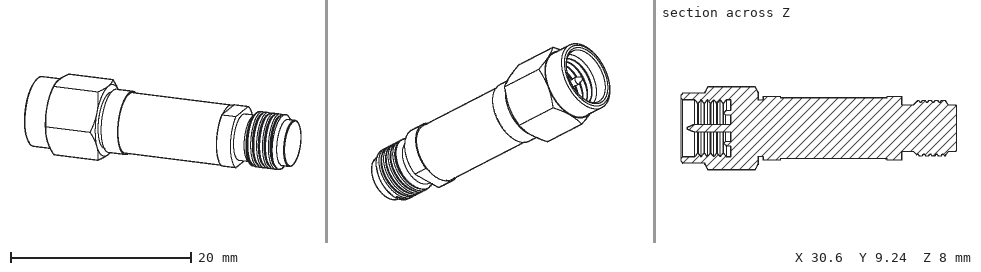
import cadquery as cq
import math

OVERALL_LENGTH = 30.55

NOSE_RADIUS = 3.9
NOSE_CHAMFER = 0.27
NOSE_CHAMFER_LENGTH = 0.18
HEX_START = 2.63
HEX_END = 8.58
HEX_ACROSS_FLATS = 8.0
HEX_ACROSS_CORNERS = HEX_ACROSS_FLATS / math.cos(math.pi / 6)
HEX_CHAMFER_ANGLE = math.radians(30)

NUT_NECK_RADIUS = 3.15
COLLAR_START = 9.1
COLLAR_END = 11.05
COLLAR_RADIUS = 3.55
BARREL_RADIUS = 3.4
WRENCH_START = 22.82
WRENCH_END = 24.5
WRENCH_ACROSS_FLATS = 6.0

FEMALE_RADIUS = 2.6
THREAD_START = 25.75
THREAD_END = 29.63
THREAD_END_CHAMFER_LENGTH = 0.35
THREAD_RADIUS = 3.1
FEMALE_CHAMFER = 0.1

PITCH = 0.7
GROOVE_DEPTH = 0.18
GROOVE_MOUTH_WIDTH = 0.37
GROOVE_ROOT_WIDTH = 0.12
GROOVE_OVERCUT = 0.05
GROOVE_START = 25.7
GROOVE_TURNS = 5.0
NUT_RIDGE_RADIUS = 2.78
NUT_CREST_WIDTH = 0.1
NUT_RIDGE_COUNT = 5

MOUTH_RADIUS = 3.35
MOUTH_CHAMFER_LENGTH = 0.18
BORE_RADIUS = 3.15
BORE_DEPTH = 1.53
SOCKET_DEPTH = 5.5

RING_FACE = 4.75
RING_RADIUS = 2.0
RING_FACE_RADIUS = 1.7
RING_LIP_RADIUS = 1.65
RING_BORE_RADIUS = 1.47
PIN_RADIUS = 0.43
PIN_TIP_X = 0.67
PIN_TIP_RADIUS = 0.1
PIN_TAPER_LENGTH = 0.75


def turned(profile):
    """Solid of revolution about X from (x, radius) points outlining its section."""
    return cq.Workplane("XY").polyline(profile).close().revolve(360, (0, 0, 0), (1, 0, 0))


def cylinder(start, end, radius):
    return cq.Workplane("YZ").workplane(offset=start).circle(radius).extrude(end - start)


def outer_thread_groove():
    """Cutter for the right-handed helical groove of the outer thread."""
    outside = THREAD_RADIUS + GROOVE_OVERCUT
    root = THREAD_RADIUS - GROOVE_DEPTH
    flank_slope = (GROOVE_MOUTH_WIDTH - GROOVE_ROOT_WIDTH) / 2 / GROOVE_DEPTH
    half_root = GROOVE_ROOT_WIDTH / 2
    half_outside = GROOVE_MOUTH_WIDTH / 2 + flank_slope * GROOVE_OVERCUT
    path = cq.Workplane(obj=cq.Wire.makeHelix(PITCH, PITCH * GROOVE_TURNS, THREAD_RADIUS))
    groove = (
        cq.Workplane("XZ")
        .polyline([(outside, -half_outside), (root, -half_root), (root, half_root), (outside, half_outside)])
        .close()
        .sweep(path, isFrenet=True)
    )
    return groove.rotate((0, 0, 0), (0, 1, 0), 90).translate((GROOVE_START, 0, 0))


def nut():
    nose = turned([
        (0, 0),
        (0, NOSE_RADIUS - NOSE_CHAMFER),
        (NOSE_CHAMFER_LENGTH, NOSE_RADIUS),
        (HEX_START, NOSE_RADIUS),
        (HEX_START, 0),
    ])
    hexagon = (
        cq.Workplane("YZ")
        .workplane(offset=HEX_START)
        .polygon(6, HEX_ACROSS_CORNERS)
        .extrude(HEX_END - HEX_START)
    )
    face_radius = HEX_ACROSS_FLATS / 2
    corner_radius = HEX_ACROSS_CORNERS / 2
    chamfer_length = (corner_radius - face_radius) * math.tan(HEX_CHAMFER_ANGLE)
    envelope = turned([
        (HEX_START, 0),
        (HEX_START, face_radius),
        (HEX_START + chamfer_length, corner_radius),
        (HEX_END - chamfer_length, corner_radius),
        (HEX_END, face_radius),
        (HEX_END, 0),
    ])
    return nose.union(hexagon.intersect(envelope))


def barrel():
    neck = cylinder(HEX_END, COLLAR_START, NUT_NECK_RADIUS)
    collar = cylinder(COLLAR_START, COLLAR_END, COLLAR_RADIUS)
    body = cylinder(COLLAR_END, WRENCH_START, BARREL_RADIUS)
    wrench_length = WRENCH_END - WRENCH_START
    flats = cq.Workplane("XY").box(wrench_length, 2 * COLLAR_RADIUS, WRENCH_ACROSS_FLATS)
    flats = flats.translate(((WRENCH_START + WRENCH_END) / 2, 0, 0))
    wrench = cylinder(WRENCH_START, WRENCH_END, COLLAR_RADIUS).intersect(flats)
    return neck.union(collar).union(body).union(wrench)


def female_end():
    thread_chamfer = THREAD_RADIUS - FEMALE_RADIUS
    blank = turned([
        (WRENCH_END, 0),
        (WRENCH_END, FEMALE_RADIUS),
        (THREAD_START, FEMALE_RADIUS),
        (THREAD_START + thread_chamfer, THREAD_RADIUS),
        (THREAD_END - THREAD_END_CHAMFER_LENGTH, THREAD_RADIUS),
        (THREAD_END, FEMALE_RADIUS),
        (OVERALL_LENGTH - FEMALE_CHAMFER, FEMALE_RADIUS),
        (OVERALL_LENGTH, FEMALE_RADIUS - FEMALE_CHAMFER),
        (OVERALL_LENGTH, 0),
    ])
    return blank.cut(outer_thread_groove())


def socket():
    """Space removed from the nut, with tapered thread ridges left standing on its wall."""
    profile = [
        (0, 0),
        (0, MOUTH_RADIUS),
        (MOUTH_CHAMFER_LENGTH, BORE_RADIUS),
        (BORE_DEPTH, BORE_RADIUS),
    ]
    for ridge in range(NUT_RIDGE_COUNT):
        ridge_start = BORE_DEPTH + ridge * PITCH
        crest_middle = ridge_start + PITCH / 2
        profile.append((crest_middle - NUT_CREST_WIDTH / 2, NUT_RIDGE_RADIUS))
        profile.append((crest_middle + NUT_CREST_WIDTH / 2, NUT_RIDGE_RADIUS))
        profile.append((ridge_start + PITCH, BORE_RADIUS))
    profile += [
        (SOCKET_DEPTH, BORE_RADIUS),
        (SOCKET_DEPTH, 0),
    ]
    return turned(profile)


def contact():
    """Chamfered ring on the socket floor, with the tapered pin in its middle."""
    ring_chamfer = RING_RADIUS - RING_FACE_RADIUS
    lip_chamfer = RING_LIP_RADIUS - RING_BORE_RADIUS
    ring = turned([
        (SOCKET_DEPTH, RING_BORE_RADIUS),
        (RING_FACE + lip_chamfer, RING_BORE_RADIUS),
        (RING_FACE, RING_LIP_RADIUS),
        (RING_FACE, RING_FACE_RADIUS),
        (RING_FACE + ring_chamfer, RING_RADIUS),
        (SOCKET_DEPTH, RING_RADIUS),
    ])
    pin = turned([
        (PIN_TIP_X, 0),
        (PIN_TIP_X, PIN_TIP_RADIUS),
        (PIN_TIP_X + PIN_TAPER_LENGTH, PIN_RADIUS),
        (SOCKET_DEPTH, PIN_RADIUS),
        (SOCKET_DEPTH, 0),
    ])
    return ring.union(pin)


housing = nut().union(barrel()).union(female_end())
result = housing.cut(socket()).union(contact())